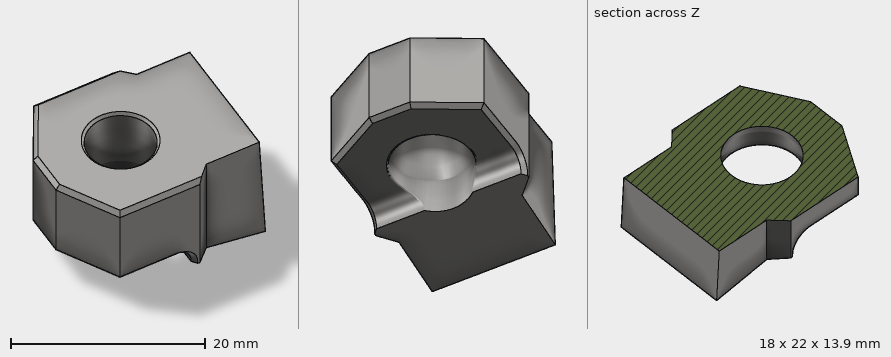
import cadquery as cq
import math

body_height = 10.0
body_half_width = 9.0
back_y = -9.0
back_flat_half_width = 2.4
back_angle = 30.0
edge_chamfer = 0.5

nose_half_width = 7.25
nose_tip_y = 13.0
nose_shoulder_y = 6.0
nose_depth = 3.86
front_rake = 3.0
underside_slope = 10.0

step_y = 3.5
step_radius = 2.0

bore_radius = 3.75
bore_chamfer = 0.3
seat_radius = 4.5
flare_start_z = 6.7
flare_radius = 15.0
seat_edge_fillet = 0.2

tolerance = 0.01

side_end_y = nose_shoulder_y - (body_half_width - nose_half_width)
corner_y = back_y + (body_half_width - back_flat_half_width) * math.tan(math.radians(back_angle))
top_front_y = nose_tip_y - (body_height + nose_depth) * math.tan(math.radians(front_rake))
step_foot_z = -nose_depth + (nose_tip_y - step_y) * math.tan(math.radians(underside_slope))
flare_end_angle = math.acos(1 - (seat_radius - bore_radius) / flare_radius)
flare_end_z = flare_start_z - flare_radius * math.sin(flare_end_angle)


def make_plan_prism():
    """Vertical prism with the plan outline, tall enough for the whole part."""
    outline = [
        (-nose_half_width, nose_tip_y),
        (-nose_half_width, nose_shoulder_y),
        (-body_half_width, side_end_y),
        (-body_half_width, corner_y),
        (-back_flat_half_width, back_y),
        (back_flat_half_width, back_y),
        (body_half_width, corner_y),
        (body_half_width, side_end_y),
        (nose_half_width, nose_shoulder_y),
        (nose_half_width, nose_tip_y),
    ]
    prism = cq.Workplane("XY").workplane(offset=-nose_depth).polyline(outline).close()
    return prism.extrude(body_height + nose_depth)


def make_side_prism():
    """Side profile: raked front, sloping underside, blended step, flat body."""
    arc_mid_y = step_y - step_radius + step_radius * math.cos(math.pi / 4)
    arc_mid_z = -step_radius + step_radius * math.sin(math.pi / 4)
    profile = (
        cq.Workplane("YZ")
        .moveTo(back_y, body_height)
        .lineTo(top_front_y, body_height)
        .lineTo(nose_tip_y, -nose_depth)
        .lineTo(step_y, step_foot_z)
        .lineTo(step_y, -step_radius)
        .threePointArc((arc_mid_y, arc_mid_z), (step_y - step_radius, 0))
        .lineTo(back_y, 0)
        .close()
    )
    return profile.extrude(body_half_width, both=True)


def chamfer_rim(part):
    """Chamfer the rim of the body, top and bottom, and the ends of the step."""
    rim = []
    for edge in part.edges().vals():
        box = edge.BoundingBox()
        on_top = box.zmin > body_height - tolerance
        below = box.zmax < tolerance and box.ymax < step_y + tolerance
        on_side = abs(abs(edge.Center().x) - body_half_width) < tolerance
        on_back = box.ymax < corner_y + tolerance
        if (on_top or below) and (on_side or on_back):
            rim.append(edge)
    return part.newObject(rim).chamfer(edge_chamfer)


def make_bore():
    """Solid of revolution removed for the bore, its flare and the seat."""
    mid_r = bore_radius + flare_radius * (1 - math.cos(flare_end_angle / 2))
    mid_z = flare_start_z - flare_radius * math.sin(flare_end_angle / 2)
    half_section = (
        cq.Workplane("XZ")
        .moveTo(0, body_height)
        .lineTo(bore_radius + bore_chamfer, body_height)
        .lineTo(bore_radius, body_height - bore_chamfer)
        .lineTo(bore_radius, flare_start_z)
        .threePointArc((mid_r, mid_z), (seat_radius, flare_end_z))
        .lineTo(seat_radius, -nose_depth)
        .lineTo(0, -nose_depth)
        .close()
    )
    return half_section.revolve(360, (0, 0), (0, 1))


def round_seat_edge(part):
    """Round the edge where the seat breaks out of the underside, step blend and step wall."""
    mouth = []
    for edge in part.edges().vals():
        box = edge.BoundingBox()
        reach = max(-box.xmin, box.xmax, -box.ymin, box.ymax)
        near_axis = reach < seat_radius + tolerance
        on_underside = box.zmax < tolerance
        on_slope = box.ymax > step_y + tolerance
        on_seam = abs(edge.Center().x) < tolerance and box.zmin < -tolerance
        if near_axis and on_underside and not on_slope and not on_seam:
            mouth.append(edge)
    return part.newObject(mouth).fillet(seat_edge_fillet)


result = chamfer_rim(make_plan_prism().intersect(make_side_prism()))
result = result.cut(make_bore())
result = round_seat_edge(result)